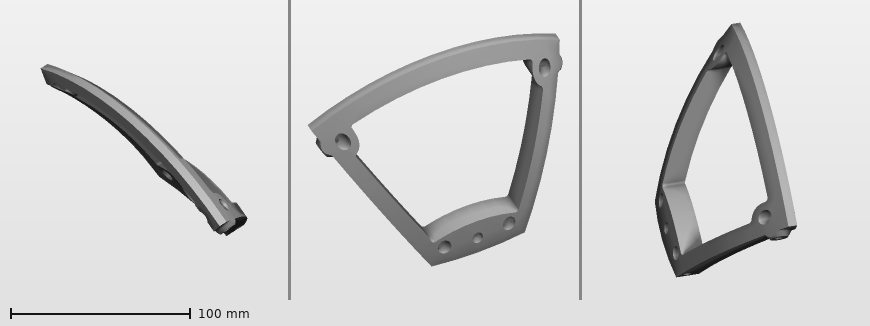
import cadquery as cq
import math

OUTER_RADIUS = 153.7
HALF_ANGLE = math.radians(30)
AXIS_Z = -50.0
DEPTH = 60.5

WINDOW_TOP_RADIUS = 145.7
WINDOW_BOTTOM_RADIUS = 69.6
LEG_WIDTH = 9.5
WINDOW_FILLET = 2.0

BACK_SPHERE_RADIUS = 223.6
FRONT_SPHERE_RADIUS = 219.5
FRONT_SPHERE_SETBACK = 166.0
back_sphere_setback = math.sqrt(BACK_SPHERE_RADIUS**2 - AXIS_Z**2) - DEPTH

BOLT_DIAMETER = 8.0
UPPER_BOLT_X = 62.4
UPPER_BOLT_Z = 77.5
LOWER_BOLT_X = 20.0
LOWER_BOLT_Z = 10.3
LUG_RADIUS = 8.3

CENTER_Z = 9.4
CENTER_DIAMETER = 6.5
POCKET_DIAMETER = 17.8
POCKET_FLOOR_Y = 54.5

SCREW_DIAMETER = 4.8
UPPER_SCREW_Y = 9.4
UPPER_SCREW_RADIUS = 140.3
LOWER_SCREW_Y = 52.5
BOSS_HEIGHT = 3.0
BOSS_BASE_RADIUS = 7.5
BOSS_TIP_RADIUS = 5.0


def polar(radius, angle):
    """X and Z of a point at an angle from vertical about the sector axis."""
    return radius * math.sin(angle), AXIS_Z + radius * math.cos(angle)


def cylinder_y(x, z, diameter, start=0.0, end=DEPTH):
    """Cylinder along Y between two Y positions."""
    axis = cq.Vector(0, 1, 0)
    return cq.Workplane(cq.Solid.makeCylinder(diameter / 2, end - start, cq.Vector(x, start, z), axis))


def ball(radius, setback):
    return cq.Workplane("XY").sphere(radius).translate((0, -setback, AXIS_Z))


def along_side(x, z):
    """Distance of a right-hand point from the sector axis, along the side."""
    return x * math.sin(HALF_ANGLE) + (z - AXIS_Z) * math.cos(HALF_ANGLE)


def inside_side(x, z):
    """Distance of a right-hand point inward from the side."""
    return (z - AXIS_Z) * math.sin(HALF_ANGLE) - x * math.cos(HALF_ANGLE)


def sector():
    corner = polar(OUTER_RADIUS, HALF_ANGLE)
    foot = -AXIS_Z * math.tan(HALF_ANGLE)
    outline = (
        cq.Workplane("XZ")
        .moveTo(-foot, 0)
        .lineTo(foot, 0)
        .lineTo(*corner)
        .threePointArc(polar(OUTER_RADIUS, 0), (-corner[0], corner[1]))
        .close()
    )
    return outline.extrude(-DEPTH)


def window():
    top_angle = HALF_ANGLE - math.asin(LEG_WIDTH / WINDOW_TOP_RADIUS)
    bottom_angle = HALF_ANGLE - math.asin(LEG_WIDTH / WINDOW_BOTTOM_RADIUS)
    opening = (
        cq.Workplane("XZ")
        .moveTo(*polar(WINDOW_BOTTOM_RADIUS, -bottom_angle))
        .threePointArc(polar(WINDOW_BOTTOM_RADIUS, 0), polar(WINDOW_BOTTOM_RADIUS, bottom_angle))
        .lineTo(*polar(WINDOW_TOP_RADIUS, top_angle))
        .threePointArc(polar(WINDOW_TOP_RADIUS, 0), polar(WINDOW_TOP_RADIUS, -top_angle))
        .close()
        .extrude(-DEPTH)
    )
    for side in (-1, 1):
        opening = opening.cut(cylinder_y(side * UPPER_BOLT_X, UPPER_BOLT_Z, 2 * LUG_RADIUS))
    return opening.edges("|Y").fillet(WINDOW_FILLET)


def screw_boss():
    """Tapered boss on the right-hand side."""
    x, z = polar(UPPER_SCREW_RADIUS, HALF_ANGLE)
    outward = cq.Vector(math.cos(HALF_ANGLE), 0, -math.sin(HALF_ANGLE))
    base = cq.Vector(x, UPPER_SCREW_Y, z)
    return cq.Workplane(cq.Solid.makeCone(BOSS_BASE_RADIUS, BOSS_TIP_RADIUS, BOSS_HEIGHT, base, outward))


def screw_hole(radius, y, depth):
    """Hole into the right-hand side, starting level with the boss tip."""
    x, z = polar(radius, HALF_ANGLE)
    outward = cq.Vector(math.cos(HALF_ANGLE), 0, -math.sin(HALF_ANGLE))
    start = cq.Vector(x, y, z) + outward * BOSS_HEIGHT
    return cq.Workplane(
        cq.Solid.makeCylinder(SCREW_DIAMETER / 2, depth + BOSS_HEIGHT, start, outward * -1)
    )


boss = screw_boss()
result = sector().cut(window()).union(boss).union(boss.mirror("YZ"))

result = result.intersect(ball(BACK_SPHERE_RADIUS, back_sphere_setback))
result = result.cut(ball(FRONT_SPHERE_RADIUS, FRONT_SPHERE_SETBACK))

for bolt_x, bolt_z in ((UPPER_BOLT_X, UPPER_BOLT_Z), (LOWER_BOLT_X, LOWER_BOLT_Z)):
    for side in (-1, 1):
        result = result.cut(cylinder_y(side * bolt_x, bolt_z, BOLT_DIAMETER))

upper_screw = screw_hole(UPPER_SCREW_RADIUS, UPPER_SCREW_Y, inside_side(UPPER_BOLT_X, UPPER_BOLT_Z))
lower_screw = screw_hole(
    along_side(LOWER_BOLT_X, LOWER_BOLT_Z), LOWER_SCREW_Y, inside_side(LOWER_BOLT_X, LOWER_BOLT_Z)
)
for hole in (upper_screw, lower_screw):
    result = result.cut(hole).cut(hole.mirror("YZ"))

result = result.cut(cylinder_y(0, CENTER_Z, CENTER_DIAMETER))
result = result.cut(cylinder_y(0, CENTER_Z, POCKET_DIAMETER, end=POCKET_FLOOR_Y))